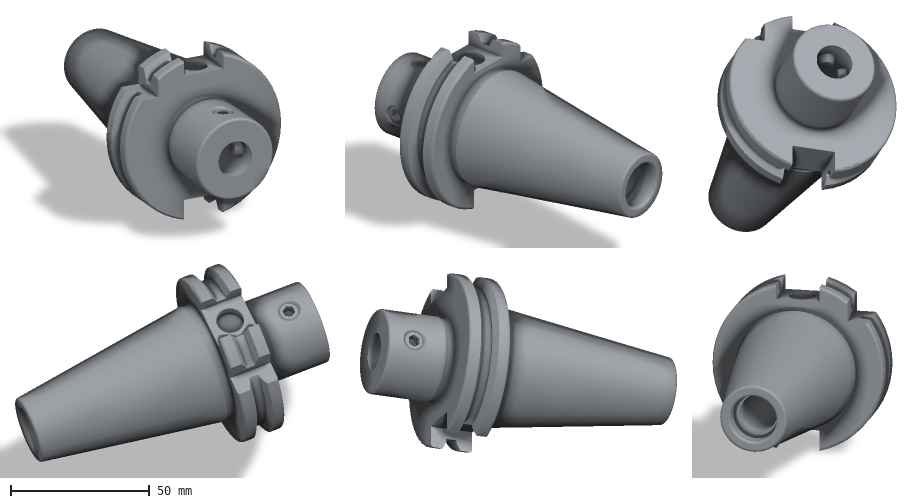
import cadquery as cq
import math

total_length = 112.4
gauge_x = 68.5
flange_x = 71.6
flange_width = 15.8
flange_end_x = flange_x + flange_width
nose_x = 90.5

gauge_dia = 44.5
taper_ratio = 7 / 24
neck_dia = 43.8
neck_fillet = 0.5
taper_end_fillet = 1.0
small_end_dia = gauge_dia - gauge_x * taper_ratio

flange_dia = 63.4
flange_fillet = 1.0
groove_x = 79.6
groove_width = 7.0
groove_floor_width = 3.7
groove_floor_dia = 56.0
groove_flank_angle = 30.0

slot_width = 16.1
upper_slot_floor = 25.0
lower_slot_floor = 22.8
notch_edge = 18.4
slot_hole_dia = 10.0
slot_hole_depth = 4.5
slot_hole_chamfer = 0.2

nose_dia = 31.0
relief_dia = 30.0
relief_end_x = 89.7
relief_fillet = 1.0
nose_fillet = 1.0

bore_dia = 13.5
thread_dia = 13.8
thread_end_x = 30.0
pilot_dia = 17.0
pilot_end_x = 5.3
undercut_dia = 17.6
undercut_cone_length = 1.0
undercut_end_x = 8.2
mouth_fillet = 1.0

screw_x = 102.6
screw_dia = 7.0
screw_top = 14.8
screw_top_chamfer = 0.3
screw_tip = 3.8
tip_dia = 5.3
tip_bevel = 0.3
tip_bevel_length = 0.8
tip_cone_end = 7.3
hex_flats = 4.0
hex_depth = 2.8
hex_drill_depth = 3.5
countersink_dia = 8.9
screw_angles = (0, -90)


def revolve_about_x(outline):
    return outline.close().revolve(360, (0, 0, 0), (1, 0, 0))


def fillet_arc(outline, end_point, center, radius, mid_angle):
    """Continue the outline with an arc whose middle lies at mid_angle from the center."""
    angle = math.radians(mid_angle)
    middle = (center[0] + radius * math.cos(angle), center[1] + radius * math.sin(angle))
    return outline.threePointArc(middle, end_point)


def make_taper():
    """Taper shank, sharp at the small end, with the neck up to the flange."""
    gauge_radius = gauge_dia / 2
    neck_radius = neck_dia / 2
    outline = cq.Workplane("XY").lineTo(0, small_end_dia / 2).lineTo(gauge_x, gauge_radius)
    outline = outline.lineTo(gauge_x + gauge_radius - neck_radius, neck_radius)
    outline = outline.lineTo(flange_x - neck_fillet, neck_radius)
    fillet_center = (flange_x - neck_fillet, neck_radius + neck_fillet)
    outline = fillet_arc(outline, (flange_x, fillet_center[1]), fillet_center, neck_fillet, -45)
    shank = revolve_about_x(outline.lineTo(flange_x, 0))
    return shank.faces("<X").edges().fillet(taper_end_fillet)


def make_flange():
    """Flange disc with rounded rims and a V groove with a straight-sided floor."""
    flange = cq.Workplane("YZ").workplane(offset=flange_x).circle(flange_dia / 2).extrude(flange_width)
    flange = flange.edges("%CIRCLE").fillet(flange_fillet)
    flank_run = (groove_width - groove_floor_width) / 2
    flank_foot = flange_dia / 2 - flank_run / math.tan(math.radians(groove_flank_angle))
    half_floor = groove_floor_width / 2
    half_width = groove_width / 2
    groove = cq.Workplane("XY").polyline([
        (groove_x - half_floor, groove_floor_dia / 2),
        (groove_x - half_floor, flank_foot),
        (groove_x - half_width, flange_dia / 2),
        (groove_x - half_width, flange_dia),
        (groove_x + half_width, flange_dia),
        (groove_x + half_width, flange_dia / 2),
        (groove_x + half_floor, flank_foot),
        (groove_x + half_floor, groove_floor_dia / 2),
    ])
    return flange.cut(revolve_about_x(groove))


def make_nose():
    """Cylindrical nose with a shallow relief next to the flange."""
    relief_radius = relief_dia / 2
    nose_radius = nose_dia / 2
    outline = cq.Workplane("XY").moveTo(flange_end_x, 0).lineTo(flange_end_x, relief_radius + relief_fillet)
    fillet_center = (flange_end_x + relief_fillet, relief_radius + relief_fillet)
    outline = fillet_arc(outline, (fillet_center[0], relief_radius), fillet_center, relief_fillet, 225)
    outline = outline.lineTo(relief_end_x, relief_radius).lineTo(nose_x, nose_radius)
    nose = revolve_about_x(outline.lineTo(total_length, nose_radius).lineTo(total_length, 0))
    return nose.faces(">X").edges().fillet(nose_fillet)


def flange_block(y_min, y_max, z_min, z_max):
    return cq.Workplane("XY").box(
        flange_width, y_max - y_min, z_max - z_min, centered=False
    ).translate((flange_x, y_min, z_min))


def cut_flange_slots(body):
    """Two drive slots, the corner notch and the blind hole in the upper slot."""
    rim = flange_dia / 2
    half_slot = slot_width / 2
    body = body.cut(flange_block(-half_slot, half_slot, upper_slot_floor, rim))
    body = body.cut(flange_block(-half_slot, half_slot, -rim, -lower_slot_floor))
    body = body.cut(flange_block(-rim, -notch_edge, notch_edge, rim))
    hole = (
        cq.Workplane("XY")
        .workplane(offset=upper_slot_floor - slot_hole_depth)
        .center(flange_x + flange_width / 2, 0)
        .circle(slot_hole_dia / 2)
        .extrude(slot_hole_depth)
        .faces("<Z")
        .chamfer(slot_hole_chamfer)
    )
    return body.cut(hole)


def make_bore():
    """Through bore with the thread, undercut, pilot and rounded mouth at the taper end."""
    pilot_radius = pilot_dia / 2
    undercut_radius = undercut_dia / 2
    mouth_radius = pilot_radius + mouth_fillet
    outline = cq.Workplane("XY").lineTo(0, mouth_radius)
    fillet_center = (mouth_fillet, mouth_radius)
    outline = fillet_arc(outline, (mouth_fillet, pilot_radius), fillet_center, mouth_fillet, 225)
    outline = outline.lineTo(pilot_end_x, pilot_radius)
    outline = outline.lineTo(pilot_end_x + undercut_cone_length, undercut_radius)
    outline = outline.lineTo(undercut_end_x, undercut_radius).lineTo(undercut_end_x, thread_dia / 2)
    outline = outline.lineTo(thread_end_x, thread_dia / 2).lineTo(thread_end_x, bore_dia / 2)
    return revolve_about_x(outline.lineTo(total_length, bore_dia / 2).lineTo(total_length, 0))


def turn_to_screw(shape, angle):
    """Move a shape made on the Z axis to the screw station, turned about the X axis."""
    return shape.translate((screw_x, 0, 0)).rotate((0, 0, 0), (1, 0, 0), angle)


def make_screw_hole():
    """Round hole from the axis to the nose surface, with a 45 degree countersink."""
    outer = nose_dia / 2
    hole_radius = screw_dia / 2
    rim_radius = countersink_dia / 2
    outline = cq.Workplane("XZ").lineTo(hole_radius, 0)
    outline = outline.lineTo(hole_radius, outer - rim_radius + hole_radius)
    outline = outline.lineTo(rim_radius, outer).lineTo(0, outer)
    return outline.close().revolve(360, (0, 0, 0), (0, 1, 0))


def make_screw():
    """Socket set screw with a chamfered top and a bevelled conical tip."""
    body_radius = screw_dia / 2
    tip_radius = tip_dia / 2
    outline = cq.Workplane("XZ").moveTo(0, screw_tip)
    outline = outline.lineTo(tip_radius - tip_bevel, screw_tip)
    outline = outline.lineTo(tip_radius, screw_tip + tip_bevel_length)
    outline = outline.lineTo(body_radius, tip_cone_end)
    outline = outline.lineTo(body_radius, screw_top - screw_top_chamfer)
    outline = outline.lineTo(body_radius - screw_top_chamfer, screw_top).lineTo(0, screw_top)
    screw = outline.close().revolve(360, (0, 0, 0), (0, 1, 0))
    hex_corners = hex_flats / math.cos(math.pi / 6)
    socket = (
        cq.Workplane("XY")
        .workplane(offset=screw_top - hex_depth)
        .transformed(rotate=(0, 0, 90))
        .polygon(6, hex_corners)
        .extrude(hex_depth)
    )
    drill = (
        cq.Workplane("XY")
        .workplane(offset=screw_top - hex_drill_depth)
        .circle(hex_flats / 2)
        .extrude(hex_drill_depth)
    )
    return screw.cut(socket).cut(drill)


holder = make_taper().union(make_flange()).union(make_nose())
holder = cut_flange_slots(holder).cut(make_bore())
screws = []
for screw_angle in screw_angles:
    holder = holder.cut(turn_to_screw(make_screw_hole(), screw_angle))
    screws.append(turn_to_screw(make_screw(), screw_angle).val())

result = cq.Compound.makeCompound([holder.val(), *screws])